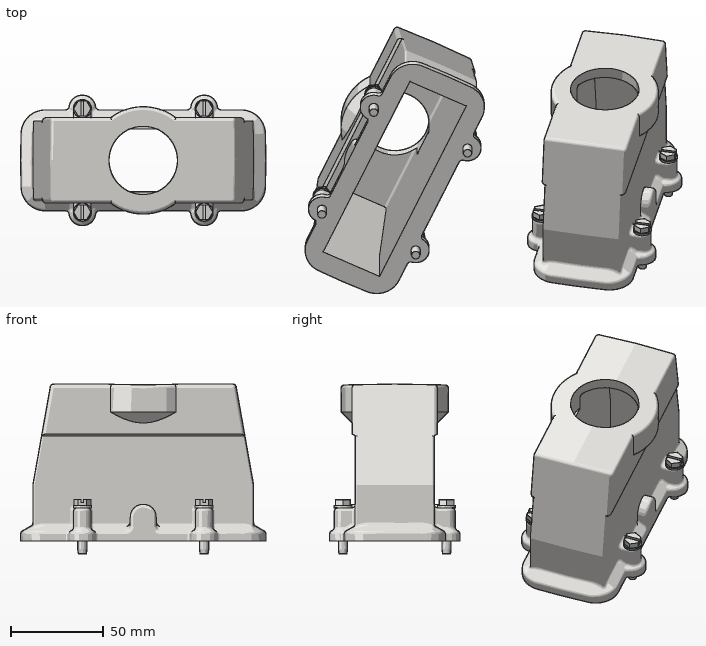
import cadquery as cq
import math

TOP_Z = 85.1
BODY_HALF_X = 59.8
TOP_HALF_X = 50.1
BEND_Z = 30.3
DRAFT = 1.0
LOWER_HALF_Y = 21.4
UPPER_HALF_Y = 23.1
STEP_Z = 57.0
WALL_Z = STEP_Z + 0.9
LOWER_CORNER = 0.9
EDGE_ROUND = 2.0

ENTRY_DIAMETER = 37.0
ENTRY_FLOOR_Z = 68.9
COLLAR_RADIUS = 29.1
COLLAR_Z = 70.0

WALL = 4.7
CAVITY_HALF_Y = 16.9
CEILING_ROUND = 1.3
ROOF = 6.4

FLANGE_HALF_X = 66.5
FLANGE_HALF_Y = 27.4
FLANGE_CORNER = 13.3
FLANGE_EDGE_Z = 4.9
FLANGE_SLOPE = 30.0
FLANGE_TOP_Z = 9.3

TONGUE_HALF_X = 7.0
TONGUE_TOP_Z = 20.0

POST_X = 33.0
POST_Y = 28.0
POST_DIAMETER = 9.5
POST_RADIUS = POST_DIAMETER / 2
POST_TOP_Z = 18.0
POST_ROUND = 1.9
FOOT_RADIUS = 7.3

WASHER_DIAMETER = 9.8
WASHER_TOP_Z = 19.2
HEX_CORNERS = 9.3
HEAD_TOP_Z = 22.5
SLOT_WIDTH = 1.3
SLOT_DEPTH = 1.5
PIN_DIAMETER = 5.0
TIP_DIAMETER = 4.4
TIP_START_Z = -4.5
TIP_END_Z = -6.9

BELOW = 6.6
TOLERANCE = 0.1


def half_envelope():
    """Side profile swept with draft from the ridge plane toward -Y, out to the collar."""
    return cq.Workplane("XZ").polyline([
        (-BODY_HALF_X, -BELOW), (BODY_HALF_X, -BELOW), (BODY_HALF_X, BEND_Z),
        (TOP_HALF_X, TOP_Z), (-TOP_HALF_X, TOP_Z), (-BODY_HALF_X, BEND_Z),
    ]).close().extrude(COLLAR_RADIUS, taper=DRAFT)


def edges_where(solid, test):
    """Edges whose centre point satisfies the test."""
    return solid.newObject([edge for edge in solid.edges().vals() if test(edge.Center())])


def near(value, target):
    return abs(value - target) < TOLERANCE


def off_ridge(centre):
    """True away from the ridge plane, where the two mirrored halves meet."""
    return centre.y < -TOLERANCE


def half_lower_body():
    """Straight-sided body up to the step, with lightly rounded corners."""
    block = cq.Workplane("XY").box(2 * FLANGE_HALF_X, LOWER_HALF_Y, WALL_Z).translate(
        (0, -LOWER_HALF_Y / 2, WALL_Z / 2))
    return half_envelope().intersect(block).faces("<Y").edges("not |X").fillet(LOWER_CORNER)


def half_upper_body():
    """Wider body above the step, with its corners and roof edge rounded."""
    section = cq.Workplane("YZ").polyline([
        (0, STEP_Z), (-LOWER_HALF_Y, STEP_Z), (-UPPER_HALF_Y, WALL_Z), (-UPPER_HALF_Y, TOP_Z), (0, TOP_Z),
    ]).close().extrude(FLANGE_HALF_X, both=True)

    def outer_edge(centre):
        return off_ridge(centre) and centre.z > WALL_Z + TOLERANCE

    return edges_where(half_envelope().intersect(section), outer_edge).fillet(EDGE_ROUND)


def half_collar():
    """Disc around the cable entry, tapering into the side wall below."""
    cone_foot_z = COLLAR_Z - (COLLAR_RADIUS - LOWER_HALF_Y)
    disc = cq.Workplane("XZ").polyline([
        (0, cone_foot_z), (LOWER_HALF_Y, cone_foot_z), (COLLAR_RADIUS, COLLAR_Z),
        (COLLAR_RADIUS, TOP_Z), (0, TOP_Z),
    ]).close().revolve(180, (0, 0, 0), (0, -1, 0))

    def rim(centre):
        return off_ridge(centre) and centre.z > COLLAR_Z + EDGE_ROUND

    return edges_where(half_envelope().intersect(disc), rim).fillet(EDGE_ROUND)


def post_web(x):
    """Round-ended post reaching out from the ridge plane, with its top edge rounded."""
    post = (cq.Workplane("XY").moveTo(x - POST_RADIUS, 0).lineTo(x - POST_RADIUS, -POST_Y)
            .threePointArc((x, -POST_Y - POST_RADIUS), (x + POST_RADIUS, -POST_Y))
            .lineTo(x + POST_RADIUS, 0).close().extrude(POST_TOP_Z))
    return post.faces(">Z").edges("not |X").fillet(POST_ROUND)


def half_flange():
    """Skirt with a rounded plan and a top that slopes up to the body."""
    end_fall = FLANGE_HALF_Y * math.tan(math.radians(DRAFT))
    skirt = cq.Workplane("XY").polyline([
        (-FLANGE_HALF_X, 0), (FLANGE_HALF_X, 0),
        (FLANGE_HALF_X - end_fall, -FLANGE_HALF_Y), (end_fall - FLANGE_HALF_X, -FLANGE_HALF_Y),
    ]).close().extrude(FLANGE_TOP_Z)
    skirt = skirt.edges("|Z").edges("<Y").fillet(FLANGE_CORNER)
    slope_rise = FLANGE_TOP_Z - FLANGE_EDGE_Z
    slope_run = slope_rise / math.tan(math.radians(FLANGE_SLOPE))

    def top_rim(centre):
        return near(centre.z, FLANGE_TOP_Z) and off_ridge(centre)

    return edges_where(skirt, top_rim).chamfer(slope_rise, slope_run)


def tongue():
    """Round-topped pad flush with the flange side."""
    return (cq.Workplane("XZ").moveTo(-TONGUE_HALF_X, 0).lineTo(TONGUE_HALF_X, 0)
            .lineTo(TONGUE_HALF_X, TONGUE_TOP_Z - TONGUE_HALF_X)
            .threePointArc((0, TONGUE_TOP_Z), (-TONGUE_HALF_X, TONGUE_TOP_Z - TONGUE_HALF_X))
            .close().extrude(FLANGE_HALF_Y))


def foot(x):
    """Conical-topped foot around a screw post, continuing the flange side and slope."""
    rise = FOOT_RADIUS * math.tan(math.radians(FLANGE_SLOPE))
    return cq.Workplane("YZ").polyline([
        (0, 0), (FOOT_RADIUS, 0), (FOOT_RADIUS, FLANGE_EDGE_Z), (0, FLANGE_EDGE_Z + rise),
    ]).close().revolve(360, (0, 0, 0), (0, 1, 0)).translate((x, -POST_Y, 0))


def from_post_plane(centre):
    """Sideways distance from the nearest post."""
    return abs(abs(centre.x) - POST_X)


def post_wall_joint(centre):
    beside_post = from_post_plane(centre) < POST_RADIUS + TOLERANCE
    above_slope = FLANGE_TOP_Z < centre.z < POST_TOP_Z + TOLERANCE
    return near(centre.y, -LOWER_HALF_Y) and beside_post and above_slope


def flange_rim(centre):
    return near(centre.z, FLANGE_EDGE_Z) and off_ridge(centre)


def tongue_rim(centre):
    on_front = near(centre.y, -FLANGE_HALF_Y) and abs(centre.x) < TONGUE_HALF_X + TOLERANCE
    return on_front and centre.z > FLANGE_EDGE_Z + TOLERANCE


def foot_neck(centre):
    beside_foot = near(from_post_plane(centre), FOOT_RADIUS)
    return near(centre.y, -FLANGE_HALF_Y) and near(centre.z, FLANGE_EDGE_Z / 2) and beside_foot


def slope_joint(centre):
    """Where the sloped flange top meets the body, the tongue, the feet and the posts."""
    on_slope = FLANGE_EDGE_Z + TOLERANCE < centre.z < FLANGE_TOP_Z - TOLERANCE
    at_body = near(centre.y, -LOWER_HALF_Y) or abs(centre.x) > BODY_HALF_X - 2 * LOWER_CORNER
    at_tongue = near(abs(centre.x), TONGUE_HALF_X)
    at_foot = centre.y < -LOWER_HALF_Y and from_post_plane(centre) < FOOT_RADIUS
    return on_slope and off_ridge(centre) and (at_body or at_tongue or at_foot)


def half_base():
    """Lower body with flange, tongue, feet and posts, all blended together."""
    base = half_flange().union(tongue())
    for x in (-POST_X, POST_X):
        base = base.union(foot(x))
    base = base.union(half_lower_body())
    for x in (-POST_X, POST_X):
        base = base.union(post_web(x))
    base = edges_where(base, post_wall_joint).fillet(EDGE_ROUND)

    def blended(centre):
        tests = (flange_rim, tongue_rim, foot_neck, slope_joint)
        return any(test(centre) for test in tests)

    return edges_where(base, blended).fillet(EDGE_ROUND)


def cavity():
    """Open-bottomed hollow whose ends follow the outer end faces."""
    lean = (BODY_HALF_X - TOP_HALF_X) / (TOP_Z - BEND_Z)
    foot_x = BODY_HALF_X - WALL
    ceiling_z = TOP_Z - ROOF
    ceiling_x = foot_x - lean * (ceiling_z - BEND_Z)
    hollow = cq.Workplane("XZ").polyline([
        (-foot_x, 0), (foot_x, 0), (foot_x, BEND_Z),
        (ceiling_x, ceiling_z), (-ceiling_x, ceiling_z), (-foot_x, BEND_Z),
    ]).close().extrude(CAVITY_HALF_Y, both=True)
    return hollow.faces(">Z").edges("|X").fillet(CEILING_ROUND)


def cylinder(diameter, bottom_z, top_z):
    return cq.Workplane("XY", origin=(0, 0, bottom_z)).circle(diameter / 2).extrude(top_z - bottom_z)


def screw():
    """Slotted hex screw with a captive washer and a tapered pin end."""
    head = (cq.Workplane("XY", origin=(0, 0, WASHER_TOP_Z)).polygon(6, HEX_CORNERS)
            .extrude(HEAD_TOP_Z - WASHER_TOP_Z))
    slot = cq.Workplane("XY").box(SLOT_WIDTH, 2 * HEX_CORNERS, 2 * SLOT_DEPTH).translate((0, 0, HEAD_TOP_Z))
    washer = cylinder(WASHER_DIAMETER, POST_TOP_Z, WASHER_TOP_Z)
    pin = cylinder(PIN_DIAMETER, TIP_END_Z, POST_TOP_Z).faces("<Z").chamfer(
        TIP_START_Z - TIP_END_Z, (PIN_DIAMETER - TIP_DIAMETER) / 2)
    return head.cut(slot).union(washer).union(pin)


half = half_upper_body().union(half_collar()).union(half_base())
for x in (-POST_X, POST_X):
    half = half.union(screw().translate((x, -POST_Y, 0)))

entry = cylinder(ENTRY_DIAMETER, ENTRY_FLOOR_Z, TOP_Z)
result = half.union(half.mirror("XZ")).cut(cavity()).cut(entry)